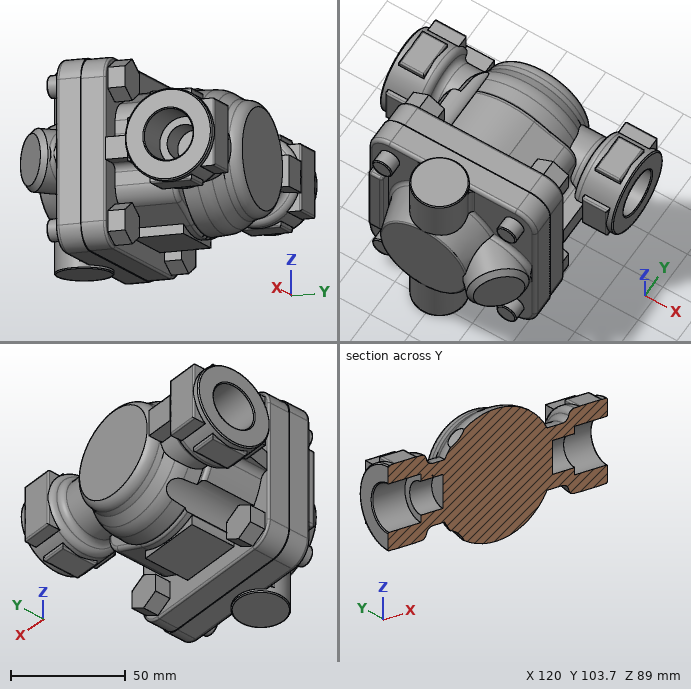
import cadquery as cq
import math


PIPE_LENGTH = 120.0
PIPE_CENTRE_X = 1.0
SOCKET_RADIUS = 41.0 / 2
SOCKET_LENGTH = 18.1
SOCKET_CHAMFER = 0.6
NECK_RADIUS = 15.0
NECK_TAPER_LENGTH = 6.5
THREAD_DIAMETER = 23.0
THREAD_DEPTH = 18.0
THREAD_MOUTH_CHAMFER = 0.5
PASSAGE_DIAMETER = 16.0
PASSAGE_DEPTH = 30.0

PAD_REACH = 20.6
PAD_HALF_WIDTH = 9.7
PAD_LENGTH = 13.0
PAD_MARGIN = 2.9
BACK_PAD_HALF_WIDTH = 15.0
BACK_PAD_LENGTH = 16.0
PAD_ROOT_DEPTH = 14.0
PAD_ROUND = 0.8
BACK_LUG_HALF_WIDTH = 7.0
BACK_LUG_END_X = -26.0

DOME_TOP_Y = 19.0
DOME_TOP_RADIUS = 22.8
RIM_RADIUS = 26.0
RIM_BASE_Y = 13.9
SHOULDER_START = (26.8, 11.0)
SHOULDER_MIDDLE = (29.8, 6.3)
SHOULDER_END = (31.8, 0.0)
DOME_BASE_RADIUS = 32.2
LOWER_BODY_TOP_Y = -7.2
LOWER_BODY_ROUND = 2.0
LOWER_BODY_RADIUS = 33.0
LOWER_BODY_TANGENT_ANGLE = 24.0
LOWER_BODY_PANEL_LEFT_X = -17.3
LEFT_WALL_RADIUS = 35.4
LEFT_WALL_EDGE_X = -29.2
LOWER_BODY_SIDE_X = 34.6
CORNER_RADIUS = 9.5
BOLT_CLEARANCE_RADIUS = 12.8
BOTTOM_PLATE_LEFT_X = -16.6
BOTTOM_PLATE_RIGHT_X = 15.0
BOTTOM_PLATE_TOP_Y = -12.0
BOTTOM_PLATE_Z = -33.8

FLANGE_CENTRE_X = 3.0
BODY_FLANGE_WIDTH = 85.2
COVER_FLANGE_WIDTH = 86.0
FLANGE_CORNER_RADIUS = 10.5
FLANGE_BACK_Y = -36.0
FLANGE_JOINT_Y = -47.5
FLANGE_FRONT_Y = -59.5
BODY_FLANGE_ROUND = 1.0
COVER_FLANGE_ROUND = 1.8

RIB_HALF_WIDTH = 5.0
RIB_TOP_Y = -12.0
RIB_ROOT_FILLET = 3.5
LEFT_RIB_TOP_X = -44.0
LEFT_RIB_BASE_X = -38.6

BOLT_HALF_PITCH = 32.0
BOLT_DIAMETER = 10.0
BOLT_END_Y = -66.2
BOLT_CHAMFER = 0.5
HEX_ACROSS_FLATS = 16.0
HEX_HEIGHT = 8.2

COVER_FACE_Y = -78.0
COVER_FACE_RADIUS = 22.3
COVER_FACE_ROUND = 0.8
COVER_BASE_RADIUS = 28.0
COVER_ROOT_FILLET = 2.0
FACE_TOLERANCE = 0.05
PORT_DIAMETER = 26.0
PORT_SPAN = 89.0
PORT_CHAMFER = 0.5
PLUG_RADIUS = 14.0
PLUG_CHAMFER = 2.5
PLUG_LENGTH = 30.0
PLUG_FACE_X = 37.0
PLUG_FACE_Y = -75.0
COVER_BAR_LEFT_X = -36.9
COVER_BAR_RIGHT_X = -29.8
COVER_BAR_HEIGHT = 42.0
COVER_BAR_FRONT_Y = -64.8
COVER_BAR_ROUND = 1.2

PORT_AXIS_Y = COVER_FACE_Y + PORT_DIAMETER / 2
BOLT_LEFT_X = FLANGE_CENTRE_X - BOLT_HALF_PITCH
BOLT_RIGHT_X = FLANGE_CENTRE_X + BOLT_HALF_PITCH


def box(x_range, y_range, z_range):
    """Box given by its limits along each axis."""
    size = [high - low for low, high in (x_range, y_range, z_range)]
    corner = (x_range[0], y_range[0], z_range[0])
    return cq.Workplane("XY").box(*size, centered=False).translate(corner)


def section(y):
    """Workplane across the body axis at height y; positive extrusion runs toward -Y."""
    return cq.Workplane("XZ", origin=(0, y, 0))


def make_dome():
    """Revolved upper body: rounded rim, shoulder and straight skirt."""
    rim_height = DOME_TOP_Y - RIM_BASE_Y
    rim_inset = RIM_RADIUS - DOME_TOP_RADIUS
    rim_round = (rim_height**2 + rim_inset**2) / (2 * rim_inset)
    return (
        cq.Workplane("XY")
        .moveTo(0, DOME_TOP_Y)
        .lineTo(DOME_TOP_RADIUS, DOME_TOP_Y)
        .radiusArc((RIM_RADIUS, RIM_BASE_Y), rim_round)
        .lineTo(*SHOULDER_START)
        .lineTo(*SHOULDER_MIDDLE)
        .tangentArcPoint(SHOULDER_END, relative=False)
        .lineTo(DOME_BASE_RADIUS, LOWER_BODY_TOP_Y)
        .lineTo(DOME_BASE_RADIUS, FLANGE_BACK_Y)
        .lineTo(0, FLANGE_BACK_Y)
        .close()
        .revolve(360, (0, 0), (0, 1))
    )


def make_lower_body():
    """Lower body cross-section, alike above and below Z = 0.

    The round middle runs into a tangent flat and a rounded corner on the right, and
    through a short flat, inside the bolt clearance, to a wider round wall on the left.
    """
    angle = math.radians(LOWER_BODY_TANGENT_ANGLE)
    normal_x = math.sin(angle)
    normal_z = math.cos(angle)
    tangent_x = LOWER_BODY_RADIUS * normal_x
    tangent_z = LOWER_BODY_RADIUS * normal_z
    corner_x = LOWER_BODY_SIDE_X - CORNER_RADIUS
    corner_z = (LOWER_BODY_RADIUS - CORNER_RADIUS - corner_x * normal_x) / normal_z
    flat_end_x = corner_x + CORNER_RADIUS * normal_x
    flat_end_z = corner_z + CORNER_RADIUS * normal_z
    panel_left_z = math.sqrt(LOWER_BODY_RADIUS**2 - LOWER_BODY_PANEL_LEFT_X**2)
    wall_edge_z = math.sqrt(LEFT_WALL_RADIUS**2 - LEFT_WALL_EDGE_X**2)
    return (
        section(LOWER_BODY_TOP_Y)
        .moveTo(tangent_x, tangent_z)
        .lineTo(flat_end_x, flat_end_z)
        .tangentArcPoint((LOWER_BODY_SIDE_X, corner_z), relative=False)
        .lineTo(LOWER_BODY_SIDE_X, -corner_z)
        .tangentArcPoint((flat_end_x, -flat_end_z), relative=False)
        .lineTo(tangent_x, -tangent_z)
        .threePointArc((0, -LOWER_BODY_RADIUS), (LOWER_BODY_PANEL_LEFT_X, -panel_left_z))
        .lineTo(LEFT_WALL_EDGE_X, -wall_edge_z)
        .threePointArc((-LEFT_WALL_RADIUS, 0), (LEFT_WALL_EDGE_X, wall_edge_z))
        .lineTo(LOWER_BODY_PANEL_LEFT_X, panel_left_z)
        .threePointArc((0, LOWER_BODY_RADIUS), (tangent_x, tangent_z))
        .close()
        .extrude(LOWER_BODY_TOP_Y - FLANGE_BACK_Y)
        .faces(">Y")
        .edges()
        .fillet(LOWER_BODY_ROUND)
    )


def make_bottom_plate():
    return box(
        (BOTTOM_PLATE_LEFT_X, BOTTOM_PLATE_RIGHT_X),
        (FLANGE_BACK_Y, BOTTOM_PLATE_TOP_Y),
        (BOTTOM_PLATE_Z, 0),
    )


def make_bolt_clearances():
    """Grooves that clear the two left bolt heads along the body."""
    centres = [(BOLT_LEFT_X, -BOLT_HALF_PITCH), (BOLT_LEFT_X, BOLT_HALF_PITCH)]
    return (
        section(DOME_TOP_Y)
        .pushPoints(centres)
        .circle(BOLT_CLEARANCE_RADIUS)
        .extrude(DOME_TOP_Y - FLANGE_BACK_Y)
    )


def mirror_in_pipe_centre(half):
    """Copy of a right-hand pipe feature for the left-hand end."""
    return half.mirror("YZ", (PIPE_CENTRE_X, 0, 0))


def make_pipe_end():
    """Right-hand pipe: neck, S-shaped taper and socket, revolved about the X axis."""
    end_x = PIPE_CENTRE_X + PIPE_LENGTH / 2
    socket_x = end_x - SOCKET_LENGTH
    neck_x = socket_x - NECK_TAPER_LENGTH
    taper_middle = ((socket_x + neck_x) / 2, (SOCKET_RADIUS + NECK_RADIUS) / 2)
    return (
        cq.Workplane("XY")
        .moveTo(PIPE_CENTRE_X, 0)
        .lineTo(PIPE_CENTRE_X, NECK_RADIUS)
        .lineTo(neck_x, NECK_RADIUS)
        .tangentArcPoint(taper_middle, relative=False)
        .tangentArcPoint((socket_x, SOCKET_RADIUS), relative=False)
        .lineTo(end_x - SOCKET_CHAMFER, SOCKET_RADIUS)
        .lineTo(end_x, SOCKET_RADIUS - SOCKET_CHAMFER)
        .lineTo(end_x, 0)
        .close()
        .revolve(360, (0, 0), (1, 0))
    )


def make_pipe_pads():
    """Flat wrench pads on the four sides of the right-hand socket."""
    outer_x = PIPE_CENTRE_X + PIPE_LENGTH / 2 - PAD_MARGIN
    x_range = (outer_x - PAD_LENGTH, outer_x)
    side = (-PAD_HALF_WIDTH, PAD_HALF_WIDTH)
    depth = (PAD_ROOT_DEPTH, PAD_REACH)
    mirrored_depth = (-PAD_REACH, -PAD_ROOT_DEPTH)
    front_pad = box(x_range, mirrored_depth, side).faces("<Y").edges().fillet(PAD_ROUND)
    upper_pad = box(x_range, side, depth).faces(">Z").edges().fillet(PAD_ROUND)
    lower_pad = box(x_range, side, mirrored_depth).faces("<Z").edges().fillet(PAD_ROUND)
    back_pad = box(
        (outer_x - BACK_PAD_LENGTH, outer_x),
        depth,
        (-BACK_PAD_HALF_WIDTH, BACK_PAD_HALF_WIDTH),
    )
    back_pad = back_pad.faces(">Y").edges().fillet(PAD_ROUND)
    return front_pad.union(upper_pad).union(lower_pad).union(back_pad)


def make_back_lug():
    """Lug that carries the left back pad on toward the body."""
    start_x = PIPE_CENTRE_X - PIPE_LENGTH / 2 + PAD_MARGIN + BACK_PAD_LENGTH
    return box(
        (start_x, BACK_LUG_END_X),
        (0, PAD_REACH),
        (-BACK_LUG_HALF_WIDTH, BACK_LUG_HALF_WIDTH),
    )


def make_pipe_bore():
    """Right-hand socket bore with a chamfered mouth and a smaller passage behind it."""
    end_x = PIPE_CENTRE_X + PIPE_LENGTH / 2
    bore_radius = THREAD_DIAMETER / 2
    return (
        cq.Workplane("XY")
        .moveTo(end_x, 0)
        .lineTo(end_x, bore_radius + THREAD_MOUTH_CHAMFER)
        .lineTo(end_x - THREAD_MOUTH_CHAMFER, bore_radius)
        .lineTo(end_x - THREAD_DEPTH, bore_radius)
        .lineTo(end_x - THREAD_DEPTH, PASSAGE_DIAMETER / 2)
        .lineTo(end_x - PASSAGE_DEPTH, PASSAGE_DIAMETER / 2)
        .lineTo(end_x - PASSAGE_DEPTH, 0)
        .close()
        .revolve(360, (0, 0), (1, 0))
    )


def make_flange(y_back, y_front, width):
    return (
        section(y_back)
        .center(FLANGE_CENTRE_X, 0)
        .rect(width, width)
        .extrude(y_back - y_front)
        .edges("|Y")
        .fillet(FLANGE_CORNER_RADIUS)
    )


def add_ribs(lower_body):
    """Blend a web into each side of the lower body and slope its left end."""
    right_x = FLANGE_CENTRE_X + BODY_FLANGE_WIDTH / 2
    ribs = box(
        (LEFT_RIB_TOP_X, right_x),
        (FLANGE_BACK_Y, RIB_TOP_Y),
        (-RIB_HALF_WIDTH, RIB_HALF_WIDTH),
    )
    root_zone = cq.selectors.BoxSelector(
        (-LEFT_WALL_RADIUS, FLANGE_BACK_Y, -RIB_HALF_WIDTH - FACE_TOLERANCE),
        (LOWER_BODY_SIDE_X + FACE_TOLERANCE, RIB_TOP_Y, RIB_HALF_WIDTH + FACE_TOLERANCE),
    )
    left_slope = (
        cq.Workplane("XY")
        .moveTo(LEFT_RIB_TOP_X, RIB_TOP_Y)
        .lineTo(LEFT_RIB_BASE_X, FLANGE_BACK_Y)
        .lineTo(LEFT_RIB_TOP_X, FLANGE_BACK_Y)
        .close()
        .extrude(LOWER_BODY_RADIUS, both=True)
    )
    ribbed = lower_body.union(ribs).edges("|Y").edges(root_zone).fillet(RIB_ROOT_FILLET)
    return ribbed.cut(left_slope)


def make_bolts():
    """Four hexagon bolts: heads behind the body flange, shank ends in front of the cover."""
    head_top_y = FLANGE_BACK_Y + HEX_HEIGHT
    across_corners = HEX_ACROSS_FLATS / math.cos(math.pi / 6)
    bolt = (
        section(head_top_y)
        .transformed(rotate=(0, 0, 90))
        .polygon(6, across_corners)
        .extrude(HEX_HEIGHT)
        .union(
            section(FLANGE_BACK_Y)
            .circle(BOLT_DIAMETER / 2)
            .extrude(FLANGE_BACK_Y - BOLT_END_Y)
            .faces("<Y")
            .chamfer(BOLT_CHAMFER)
        )
    )
    bolts = cq.Workplane("XY")
    for x in (BOLT_LEFT_X, BOLT_RIGHT_X):
        for z in (-BOLT_HALF_PITCH, BOLT_HALF_PITCH):
            bolts = bolts.add(bolt.translate((x, 0, z)))
    return bolts.combine()


def make_cover_cone():
    """Tapered boss on the cover with a flat end face and a rounded rim."""
    return (
        section(FLANGE_FRONT_Y)
        .circle(COVER_BASE_RADIUS)
        .workplane(offset=FLANGE_FRONT_Y - COVER_FACE_Y)
        .circle(COVER_FACE_RADIUS)
        .loft(ruled=True)
        .faces("<Y")
        .edges()
        .fillet(COVER_FACE_ROUND)
    )


def make_ports():
    """Upright cylinder across the cover, ending in the upper and lower port bosses."""
    return (
        cq.Workplane("XY", origin=(0, PORT_AXIS_Y, -PORT_SPAN / 2))
        .circle(PORT_DIAMETER / 2)
        .extrude(PORT_SPAN)
        .faces("<Z or >Z")
        .chamfer(PORT_CHAMFER)
    )


def make_plug():
    """Strainer plug boss leaning out at 45 degrees toward +X and -Y."""
    plane = cq.Plane(origin=(PLUG_FACE_X, PLUG_FACE_Y, 0), xDir=(0, 0, 1), normal=(1, -1, 0))
    return (
        cq.Workplane(plane)
        .circle(PLUG_RADIUS)
        .extrude(-PLUG_LENGTH)
        .faces(cq.selectors.DirectionMinMaxSelector(cq.Vector(1, -1, 0)))
        .chamfer(PLUG_CHAMFER)
    )


def make_cover_bar():
    return (
        box(
            (COVER_BAR_LEFT_X, COVER_BAR_RIGHT_X),
            (COVER_BAR_FRONT_Y, FLANGE_FRONT_Y),
            (-COVER_BAR_HEIGHT / 2, COVER_BAR_HEIGHT / 2),
        )
        .edges("|Y or <Y")
        .fillet(COVER_BAR_ROUND)
    )


def make_body():
    body = make_dome().union(add_ribs(make_lower_body())).union(make_bottom_plate())
    body = body.cut(make_bolt_clearances())
    pipe_end = make_pipe_end()
    pads = make_pipe_pads()
    for part in (pipe_end, pads):
        body = body.union(part).union(mirror_in_pipe_centre(part))
    flange = make_flange(FLANGE_BACK_Y, FLANGE_JOINT_Y, BODY_FLANGE_WIDTH)
    flange = flange.faces(">Y").edges().fillet(BODY_FLANGE_ROUND)
    return body.union(make_back_lug()).union(flange)


def make_cover_roots(bosses):
    """Plate at the cover flange face with the bosses blended into it, trimmed to the flat face."""
    half_width = COVER_FLANGE_WIDTH / 2
    plate = box(
        (-COVER_FLANGE_WIDTH, COVER_FLANGE_WIDTH),
        (FLANGE_FRONT_Y, FLANGE_JOINT_Y),
        (-half_width, half_width),
    )
    for boss in bosses:
        plate = plate.union(boss)
    at_face = cq.selectors.BoxSelector(
        (-half_width, FLANGE_FRONT_Y - FACE_TOLERANCE, -half_width + FACE_TOLERANCE),
        (half_width, FLANGE_FRONT_Y + FACE_TOLERANCE, half_width - FACE_TOLERANCE),
    )
    blended = plate.edges(at_face).fillet(COVER_ROOT_FILLET)
    face_width = COVER_FLANGE_WIDTH - 2 * COVER_FLANGE_ROUND
    footprint = (
        section(FLANGE_JOINT_Y)
        .center(FLANGE_CENTRE_X, 0)
        .rect(face_width, face_width)
        .extrude(FLANGE_JOINT_Y - COVER_FACE_Y)
        .edges("|Y")
        .fillet(FLANGE_CORNER_RADIUS - COVER_FLANGE_ROUND)
    )
    return blended.intersect(footprint)


def make_cover():
    flange = make_flange(FLANGE_JOINT_Y, FLANGE_FRONT_Y, COVER_FLANGE_WIDTH)
    flange = flange.faces("<Y").edges().fillet(COVER_FLANGE_ROUND)
    bosses = [make_cover_cone(), make_ports(), make_plug()]
    cover = flange.union(make_cover_roots(bosses))
    for boss in bosses:
        cover = cover.union(boss)
    return cover.union(make_cover_bar())


bore = make_pipe_bore()
result = make_body().union(make_cover()).union(make_bolts())
result = result.cut(bore).cut(mirror_in_pipe_centre(bore))